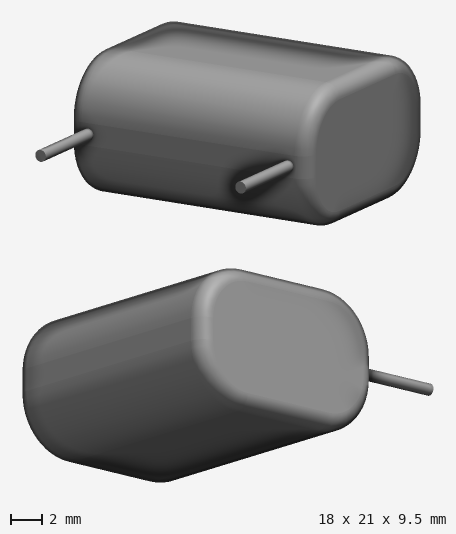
import cadquery as cq


body_length = 18.0
body_depth = 15.0
body_height = 9.5
corner_radius = 4.0
end_fillet = 1.0

total_depth = 21.0
lead_length = total_depth - body_depth
lead_diameter = 0.8
lead_pitch = 15.0
lead_embed = 2.1


def make_body():
    """Block centred on the origin, rounded along X and then around its ends."""
    block = cq.Workplane("XY").box(body_length, body_depth, body_height)
    return block.edges("|X").fillet(corner_radius).faces("<X or >X").edges().fillet(end_fillet)


def make_leads():
    """Two round wires at mid-height, leaving the -Y side of the body."""
    return (
        cq.Workplane("XZ", origin=(0, lead_embed - body_depth / 2, 0))
        .pushPoints([(-lead_pitch / 2, 0), (lead_pitch / 2, 0)])
        .circle(lead_diameter / 2)
        .extrude(lead_embed + lead_length)
    )


result = make_body().union(make_leads())